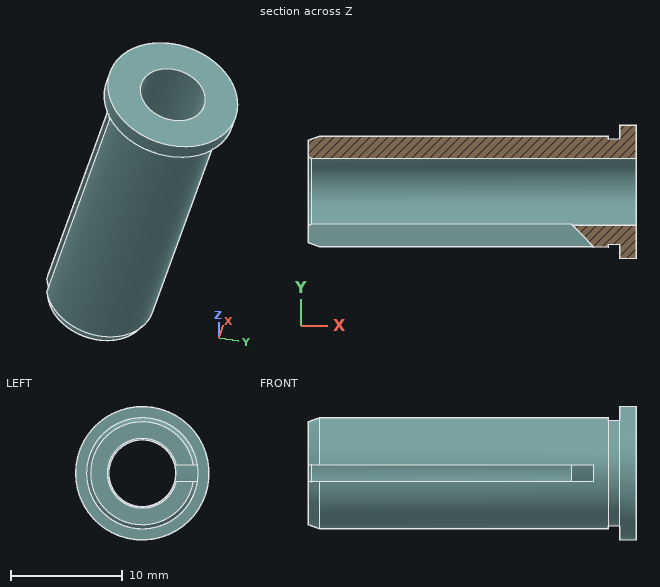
import cadquery as cq
import math

length = 29.5
flange_diameter = 12.0
flange_thickness = 1.5
body_diameter = 10.0
neck_diameter = 9.5
neck_length = 1.0
bore_diameter = 6.0

nose_length = 1.0
nose_angle = 20.0
bore_chamfer_length = 0.3
bore_chamfer_depth = 0.15

slot_width = 1.5
slot_floor_length = 23.7
slot_outer_length = 25.66

body_radius = body_diameter / 2
bore_radius = bore_diameter / 2
flange_start = length - flange_thickness
neck_start = flange_start - neck_length
nose_radius = body_radius - nose_length * math.tan(math.radians(nose_angle))


def make_sleeve():
    """Revolve the half section of the flanged sleeve about X."""
    section = (
        cq.Workplane("XY")
        .moveTo(0, bore_radius + bore_chamfer_depth)
        .lineTo(0, nose_radius)
        .lineTo(nose_length, body_radius)
        .lineTo(neck_start, body_radius)
        .lineTo(neck_start, neck_diameter / 2)
        .lineTo(flange_start, neck_diameter / 2)
        .lineTo(flange_start, flange_diameter / 2)
        .lineTo(length, flange_diameter / 2)
        .lineTo(length, bore_radius)
        .lineTo(bore_chamfer_length, bore_radius)
        .close()
    )
    return section.revolve(360, (0, 0, 0), (1, 0, 0))


def make_slot():
    """Slot cutter whose blind end is conical about X, widening from bore to body surface."""
    slope = (slot_outer_length - slot_floor_length) / (body_radius - bore_radius)
    reach = flange_diameter / 2
    end_at_axis = slot_floor_length - slope * bore_radius
    end_at_reach = end_at_axis + slope * reach
    outline = [(0, 0), (end_at_axis, 0), (end_at_reach, reach), (0, reach)]
    cone = cq.Workplane("XY").polyline(outline).close().revolve(360, (0, 0, 0), (1, 0, 0))
    slab = cq.Workplane("XY").box(length, reach, slot_width, centered=(False, False, True))
    return cone.intersect(slab.translate((0, -reach, 0)))


result = make_sleeve().cut(make_slot())